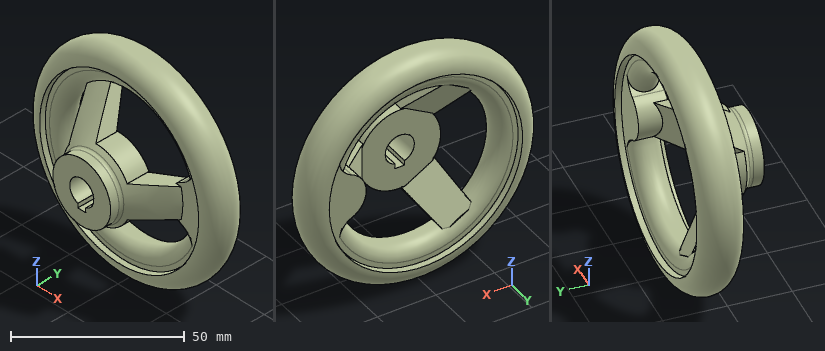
import cadquery as cq
import math


WHEEL_RADIUS = 40.0
OUTER_TUBE_RADIUS = 7.0
INNER_TUBE_RADIUS = 5.0
RIM_INNER_RADIUS = 26.0
STEP_TOP_RADIUS = WHEEL_RADIUS - OUTER_TUBE_RADIUS
STEP_TAPER = 0.2
STEP_FOOT_RADIUS = STEP_TOP_RADIUS - STEP_TAPER
INNER_TUBE_CENTRE = RIM_INNER_RADIUS + INNER_TUBE_RADIUS

OVERALL_DEPTH = 29.0
HUB_FRONT = OUTER_TUBE_RADIUS - OVERALL_DEPTH
HUB_BACK = -OUTER_TUBE_RADIUS
HUB_NOSE_RADIUS = 12.0
HUB_BODY_RADIUS = 14.0
HUB_CONE_BACK = -15.8
CONE_SLOPE = 1.04
HUB_FILLET_RADIUS = 2.0
BORE_RADIUS = 5.0
KEYWAY_WIDTH = 3.2
KEYWAY_DEPTH = 6.3

SPOKE_COUNT = 3
SPOKE_INNER_X = 9.6
SPOKE_OUTER_X = 27.2
SPOKE_INNER_WIDTH = 13.3
SPOKE_OUTER_WIDTH = 11.4
SPOKE_INNER_BACK_Y = -9.4
SPOKE_OUTER_BACK_Y = 3.5

PAD_BOSS_X = 27.4
PAD_BOSS_RADIUS = 8.4
PAD_FLARE_RADIUS = 7.2
PAD_SHOULDER_X = 28.3


def make_rim():
    profile = (
        cq.Workplane("XY")
        .moveTo(STEP_TOP_RADIUS, -OUTER_TUBE_RADIUS)
        .threePointArc((WHEEL_RADIUS, 0), (STEP_TOP_RADIUS, OUTER_TUBE_RADIUS))
        .lineTo(STEP_FOOT_RADIUS, INNER_TUBE_RADIUS)
        .lineTo(INNER_TUBE_CENTRE, INNER_TUBE_RADIUS)
        .threePointArc((RIM_INNER_RADIUS, 0), (INNER_TUBE_CENTRE, -INNER_TUBE_RADIUS))
        .lineTo(STEP_FOOT_RADIUS, -INNER_TUBE_RADIUS)
        .close()
    )
    return profile.revolve(360, (0, 0, 0), (0, 1, 0))


def cone_y(radius):
    return HUB_CONE_BACK + CONE_SLOPE * (radius - HUB_BODY_RADIUS)


def make_hub_envelope():
    turn = math.pi / 2 - math.atan(CONE_SLOPE)
    tangent_length = HUB_FILLET_RADIUS * math.tan(turn / 2)
    centre_radius = HUB_NOSE_RADIUS + HUB_FILLET_RADIUS
    cone_front = cone_y(HUB_NOSE_RADIUS)
    fillet_front = cone_front - tangent_length
    fillet_middle = (
        centre_radius - HUB_FILLET_RADIUS * math.cos(turn / 2),
        fillet_front + HUB_FILLET_RADIUS * math.sin(turn / 2),
    )
    fillet_back = (
        HUB_NOSE_RADIUS + tangent_length * math.sin(turn),
        cone_front + tangent_length * math.cos(turn),
    )
    profile = (
        cq.Workplane("XY")
        .moveTo(0, HUB_FRONT)
        .lineTo(HUB_NOSE_RADIUS, HUB_FRONT)
        .lineTo(HUB_NOSE_RADIUS, fillet_front)
        .threePointArc(fillet_middle, fillet_back)
        .lineTo(WHEEL_RADIUS, cone_y(WHEEL_RADIUS))
        .lineTo(0, cone_y(WHEEL_RADIUS))
        .close()
    )
    return profile.revolve(360, (0, 0, 0), (0, 1, 0))


def make_spoke():
    sloped_bar = (
        cq.Workplane("XY")
        .moveTo(SPOKE_INNER_X, HUB_FRONT)
        .lineTo(SPOKE_OUTER_X, HUB_FRONT)
        .lineTo(SPOKE_OUTER_X, SPOKE_OUTER_BACK_Y)
        .lineTo(SPOKE_INNER_X, SPOKE_INNER_BACK_Y)
        .close()
        .extrude(SPOKE_INNER_WIDTH, both=True)
    )
    taper = (
        cq.Workplane("XZ")
        .moveTo(SPOKE_INNER_X, -SPOKE_INNER_WIDTH / 2)
        .lineTo(SPOKE_OUTER_X, -SPOKE_OUTER_WIDTH / 2)
        .lineTo(SPOKE_OUTER_X, SPOKE_OUTER_WIDTH / 2)
        .lineTo(SPOKE_INNER_X, SPOKE_INNER_WIDTH / 2)
        .close()
        .extrude(OVERALL_DEPTH, both=True)
    )
    return sloped_bar.intersect(taper)


def make_handle_pad():
    flare_x = PAD_SHOULDER_X - PAD_FLARE_RADIUS
    centre_distance = PAD_BOSS_RADIUS + PAD_FLARE_RADIUS
    flare_z = math.sqrt(centre_distance**2 - (PAD_BOSS_X - flare_x) ** 2)
    share = PAD_BOSS_RADIUS / centre_distance
    joint_x = PAD_BOSS_X + (flare_x - PAD_BOSS_X) * share
    joint_z = flare_z * share
    joint_angle = math.atan2(joint_z - flare_z, joint_x - flare_x)
    middle_x = flare_x + PAD_FLARE_RADIUS * math.cos(joint_angle / 2)
    middle_z = flare_z + PAD_FLARE_RADIUS * math.sin(joint_angle / 2)
    rim_z = math.sqrt(STEP_FOOT_RADIUS**2 - PAD_SHOULDER_X**2)
    outline = (
        cq.Workplane("XZ")
        .moveTo(joint_x, -joint_z)
        .threePointArc((PAD_BOSS_X - PAD_BOSS_RADIUS, 0), (joint_x, joint_z))
        .threePointArc((middle_x, middle_z), (PAD_SHOULDER_X, flare_z))
        .lineTo(PAD_SHOULDER_X, rim_z)
        .threePointArc((STEP_FOOT_RADIUS, 0), (PAD_SHOULDER_X, -rim_z))
        .lineTo(PAD_SHOULDER_X, -flare_z)
        .threePointArc((middle_x, -middle_z), (joint_x, -joint_z))
        .close()
    )
    return outline.extrude(INNER_TUBE_RADIUS, both=True)


def make_bore():
    length = HUB_BACK - HUB_FRONT
    start = cq.Workplane("XZ", origin=(0, HUB_BACK, 0))
    hole = start.circle(BORE_RADIUS).extrude(length)
    keyway = start.center(0, -KEYWAY_DEPTH / 2).rect(KEYWAY_WIDTH, KEYWAY_DEPTH).extrude(length)
    return hole.union(keyway)


hub_and_spokes = (
    cq.Workplane("XZ", origin=(0, HUB_BACK, 0)).circle(HUB_BODY_RADIUS).extrude(HUB_BACK - HUB_FRONT)
)
spoke = make_spoke()
for index in range(SPOKE_COUNT):
    angle = index * 360 / SPOKE_COUNT
    hub_and_spokes = hub_and_spokes.union(spoke.rotate((0, 0, 0), (0, 1, 0), angle))
hub_and_spokes = hub_and_spokes.intersect(make_hub_envelope())

wheel = make_rim().union(make_handle_pad()).union(hub_and_spokes)
result = wheel.cut(make_bore())